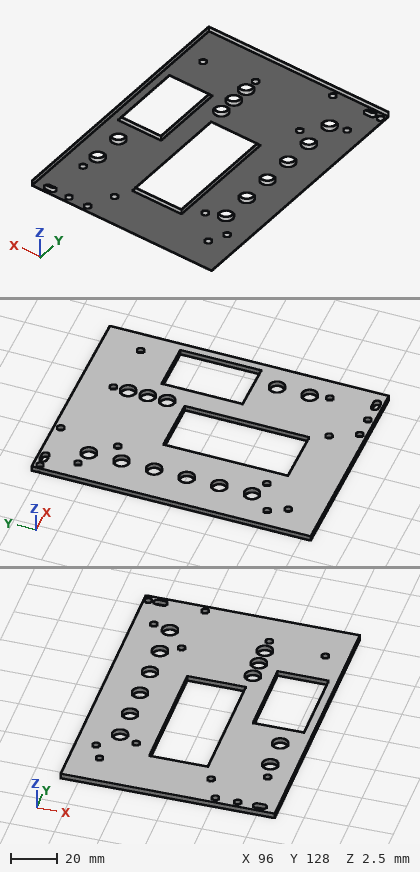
import cadquery as cq

plate_width = 96.0
plate_length = 128.0
plate_thickness = 2.5

small_diameter = 3.2
large_diameter = 7.0
slot_length = 6.0

edge_inset = 3.1
edge_row_y = plate_length / 2 - edge_inset
slot_x = 40.5
corner_hole_x = 46.0
inner_hole_x = 20.5
extra_hole_x = 30.5

column_x = -31.2
column_top_y = 44.0
column_pitch = 15.0
column_count = 6

trio_x = 11.9
trio_top_y = 42.1
trio_pitch = 9.0
trio_count = 3
trio_small_y = 48.9

pair_x = 36.5
pair_top_y = -17.0
pair_count = 2

screw_left_x = -39.0
screw_right_x = 37.9
screw_top_y = 46.1
screw_bottom_y = -40.7
inner_screw_x = -22.9
inner_screw_top_y = 33.8
inner_screw_bottom_y = -34.5
lower_screw_left_x = -35.1
lower_screw_right_x = 15.0
lower_screw_y = -48.9

large_window_size = (26.2, 57.1)
large_window_centre = (-1.9, -12.7)
small_window_size = (22.9, 37.1)
small_window_centre = (32.6, 11.6)


def column(x, top_y, pitch, count):
    """Centres of equally spaced holes running down from top_y."""
    return [(x, top_y - i * pitch) for i in range(count)]


def cut_holes(body, centres, diameter):
    return body.faces(">Z").workplane(origin=(0, 0, 0)).pushPoints(centres).hole(diameter)


def cut_window(body, size, centre):
    return body.faces(">Z").workplane(origin=(0, 0, 0)).center(*centre).rect(*size).cutThruAll()


plate = cq.Workplane("XY").box(plate_width, plate_length, plate_thickness)

large_holes = (
    column(column_x, column_top_y, column_pitch, column_count)
    + column(trio_x, trio_top_y, trio_pitch, trio_count)
    + column(pair_x, pair_top_y, column_pitch, pair_count)
)
plate = cut_holes(plate, large_holes, large_diameter)

small_holes = [
    (-corner_hole_x, edge_row_y),
    (-inner_hole_x, edge_row_y),
    (inner_hole_x, -edge_row_y),
    (extra_hole_x, -edge_row_y),
    (trio_x, trio_small_y),
    (screw_left_x, screw_top_y),
    (screw_right_x, screw_top_y),
    (screw_left_x, screw_bottom_y),
    (screw_right_x, screw_bottom_y),
    (inner_screw_x, inner_screw_top_y),
    (inner_screw_x, inner_screw_bottom_y),
    (lower_screw_left_x, lower_screw_y),
    (lower_screw_right_x, lower_screw_y),
]
plate = cut_holes(plate, small_holes, small_diameter)

slot_centres = [(-slot_x, edge_row_y), (slot_x, -edge_row_y)]
plate = (
    plate.faces(">Z")
    .workplane(origin=(0, 0, 0))
    .pushPoints(slot_centres)
    .slot2D(slot_length, small_diameter)
    .cutThruAll()
)

plate = cut_window(plate, large_window_size, large_window_centre)
plate = cut_window(plate, small_window_size, small_window_centre)

result = plate